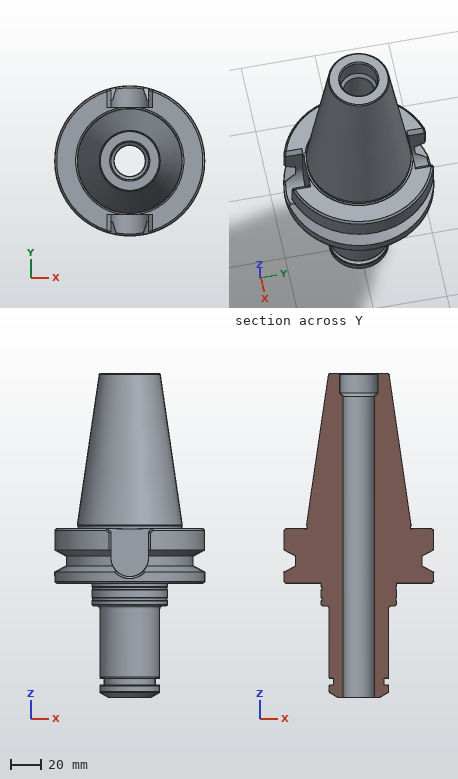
import cadquery as cq
import math

total_height = 215.8
gauge_z = 114.8
flange_top_z = 112.6
flange_bottom_z = 76.0
collar_bottom_z = 60.9
ring_groove_top_z = 12.7
ring_groove_bottom_z = 8.5
nose_height = 3.2

taper_diameter = 70.0
taper_ratio = 7 / 24
neck_diameter = 69.3
neck_step_height = 0.6
tip_chamfer = 0.6
face_recess_diameter = 72.0
face_recess_depth = 0.5

flange_diameter = 100.0
flange_chamfer = 1.3
vee_floor_diameter = 84.5
vee_floor_bottom_z = 87.6
vee_floor_width = 6.5
vee_flank_height = 4.0

slot_width = 25.0
slot_floor_y = 35.5
slot_arc_z = 93.0
slot_top_chamfer = 2.5

collar_diameter = 50.5
collar_chamfer = 1.0
collar_groove_depth = 0.5
collar_groove_width = 2.4
collar_groove_tops_z = (73.8, 66.7)
shank_diameter = 40.0
shank_root_fillet = 1.7
ring_groove_diameter = 34.0
shank_edge_inset = 0.32
shank_edge_height = 0.9
nose_angle = 30

through_diameter = 20.7
socket_diameter = 25.0
socket_depth = 13.2
socket_floor_drop = 2.2
socket_chamfer = 0.9


def cylinder(diameter, bottom_z, top_z):
    return cq.Workplane("XY").workplane(offset=bottom_z).circle(diameter / 2).extrude(top_z - bottom_z)


def revolve_profile(points):
    """Turn a closed (radius, z) outline around the Z axis."""
    return cq.Workplane("XZ").polyline(points).close().revolve(360, (0, 0, 0), (0, 1, 0))


def taper():
    gauge_radius = taper_diameter / 2
    tip_radius = gauge_radius - (total_height - gauge_z) * taper_ratio / 2
    cone = revolve_profile([
        (0, gauge_z - neck_step_height),
        (neck_diameter / 2, gauge_z - neck_step_height),
        (gauge_radius, gauge_z),
        (tip_radius, total_height),
        (0, total_height),
    ]).faces(">Z").edges().chamfer(tip_chamfer)
    return cone.union(cylinder(neck_diameter, flange_top_z - face_recess_depth, gauge_z))


def drive_slot():
    """Cutter for the slot on the -Y side."""
    half = slot_width / 2
    depth = flange_diameter / 2
    flared = half + slot_top_chamfer
    return (
        cq.Workplane("XZ", origin=(0, -slot_floor_y, 0))
        .moveTo(-flared, flange_top_z)
        .lineTo(-half, flange_top_z - slot_top_chamfer)
        .lineTo(-half, slot_arc_z)
        .threePointArc((0, slot_arc_z - half), (half, slot_arc_z))
        .lineTo(half, flange_top_z - slot_top_chamfer)
        .lineTo(flared, flange_top_z)
        .close()
        .extrude(depth)
    )


def vee_groove():
    floor_radius = vee_floor_diameter / 2
    rim_radius = flange_diameter / 2
    floor_top_z = vee_floor_bottom_z + vee_floor_width
    return revolve_profile([
        (floor_radius, vee_floor_bottom_z),
        (rim_radius, vee_floor_bottom_z - vee_flank_height),
        (rim_radius, floor_top_z + vee_flank_height),
        (floor_radius, floor_top_z),
    ])


def flange():
    body = cylinder(flange_diameter, flange_bottom_z, flange_top_z)
    slot = drive_slot()
    body = body.cut(slot).cut(slot.mirror("XZ"))
    outer_wall = body.faces(cq.selectors.AreaNthSelector(-1))
    body = outer_wall.edges().chamfer(flange_chamfer)
    recess = cylinder(face_recess_diameter, flange_top_z - face_recess_depth, flange_top_z)
    return body.cut(vee_groove()).cut(recess)


def collar_groove(top_z):
    """Shallow ring groove with 45 degree sides."""
    rim_radius = collar_diameter / 2
    floor_radius = rim_radius - collar_groove_depth
    bottom_z = top_z - collar_groove_width
    return revolve_profile([
        (rim_radius, bottom_z),
        (floor_radius, bottom_z + collar_groove_depth),
        (floor_radius, top_z - collar_groove_depth),
        (rim_radius, top_z),
    ])


def collar():
    body = cylinder(collar_diameter, collar_bottom_z, flange_bottom_z)
    body = body.faces("<Z").edges().chamfer(collar_chamfer)
    for top_z in collar_groove_tops_z:
        body = body.cut(collar_groove(top_z))
    return body


def shank():
    radius = shank_diameter / 2
    edge_radius = radius - shank_edge_inset
    groove_radius = ring_groove_diameter / 2
    nose_radius = edge_radius - nose_height / math.tan(math.radians(nose_angle))
    return revolve_profile([
        (0, 0),
        (nose_radius, 0),
        (edge_radius, nose_height),
        (radius, nose_height + shank_edge_height),
        (radius, ring_groove_bottom_z - shank_edge_height),
        (edge_radius, ring_groove_bottom_z),
        (groove_radius, ring_groove_bottom_z),
        (groove_radius, ring_groove_top_z),
        (edge_radius, ring_groove_top_z),
        (radius, ring_groove_top_z + shank_edge_height),
        (radius, collar_bottom_z),
        (0, collar_bottom_z),
    ])


def bore():
    through_radius = through_diameter / 2
    socket_radius = socket_diameter / 2
    floor_z = total_height - socket_depth
    return revolve_profile([
        (0, 0),
        (through_radius, 0),
        (through_radius, floor_z - socket_floor_drop),
        (socket_radius, floor_z),
        (socket_radius, total_height - socket_chamfer),
        (socket_radius + socket_chamfer, total_height),
        (0, total_height),
    ])


def shank_with_collar():
    body = shank().union(collar())
    root = cq.selectors.NearestToPointSelector((0, 0, collar_bottom_z))
    return body.edges(root).fillet(shank_root_fillet)


result = shank_with_collar().union(flange()).union(taper()).cut(bore())